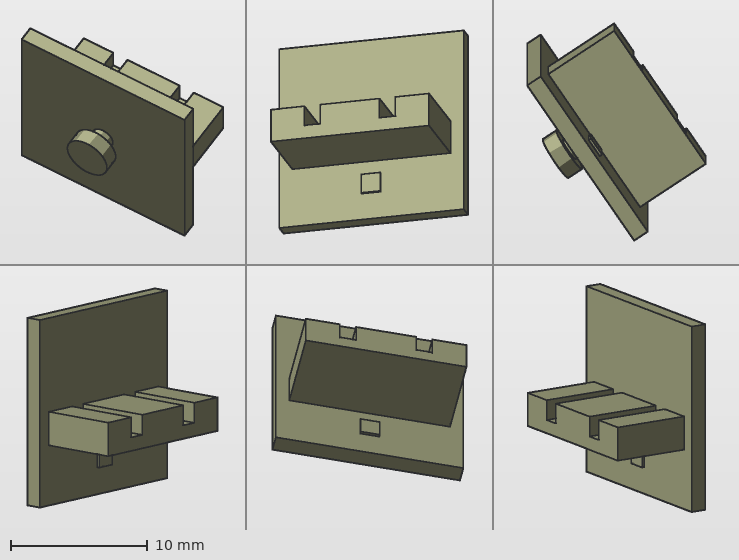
import cadquery as cq

plate_side = 14.0
plate_thickness = 1.2

block_width = 12.0
block_length = 5.8
block_height = 2.5

groove_width = 1.2
groove_spacing = 5.7
groove_depth = 1.5

stem_diameter = 1.7
stem_length = 1.0
head_diameter = 3.4
head_thickness = 1.2

pad_side = 1.44
pad_thickness = 0.2
pad_center_z = -4.25

plate_back_y = plate_thickness


def bar_along_y(width, height, length, start_y, center_x=0.0, center_z=0.0):
    """Rectangular bar that starts at start_y and runs toward +Y."""
    return (
        cq.Workplane("XY")
        .box(width, length, height)
        .translate((center_x, start_y + length / 2, center_z))
    )


def disc_toward_front(diameter, length, start_y):
    """Cylinder that starts at start_y and runs toward -Y."""
    return cq.Workplane("XZ", origin=(0, start_y, 0)).circle(diameter / 2).extrude(length)


def make_plate():
    return bar_along_y(plate_side, plate_side, plate_thickness, start_y=0)


def make_block():
    block = bar_along_y(
        block_width, block_height, block_length, plate_back_y, center_z=-block_height / 2
    )
    for groove_x in (-groove_spacing / 2, groove_spacing / 2):
        groove = bar_along_y(
            groove_width, groove_depth, block_length, plate_back_y, groove_x, -groove_depth / 2
        )
        block = block.cut(groove)
    return block


def make_knob():
    stem = disc_toward_front(stem_diameter, stem_length, start_y=0)
    head = disc_toward_front(head_diameter, head_thickness, start_y=-stem_length)
    return stem.union(head)


def make_pad():
    return bar_along_y(pad_side, pad_side, pad_thickness, plate_back_y, center_z=pad_center_z)


plate = make_plate()
block = make_block()
knob = make_knob()
pad = make_pad()

result = cq.Compound.makeCompound([plate.val(), block.val(), knob.val(), pad.val()])